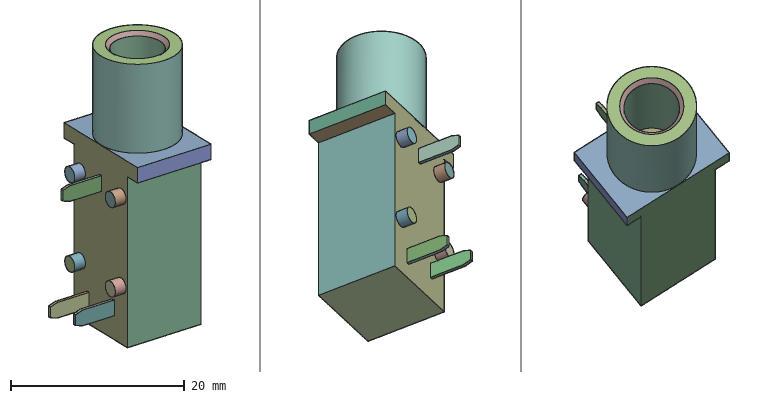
import cadquery as cq

total_height = 35.4
barrel_length = 11.45
flange_thickness = 2.0
flange_width = 14.5
body_width = 10.55
body_depth = 10.48
barrel_diameter = 10.37
body_height = total_height - barrel_length - flange_thickness
flange_top = body_height + flange_thickness
front_face = -body_depth / 2

bore_diameter = 6.4
bore_depth = barrel_length
mouth_diameter = 7.4
mouth_depth = (mouth_diameter - bore_diameter) / 2

peg_diameter = 2.0
peg_length = 1.52
peg_offset = 4.0
peg_heights = (7.5, 19.0)

blade_length = 5.52
blade_height = 2.02
blade_thickness = 0.4
blade_taper_length = 1.0
blade_taper_height = 0.32
blade_pitch = 2.48
blade_positions = ((-blade_pitch, 3.1), (0, 19.1), (blade_pitch, 4.1))


def housing():
    """Rectangular body with a wider flange and a round barrel on top."""
    body = cq.Workplane("XY").box(body_width, body_depth, body_height, centered=(True, True, False))
    flange = (
        cq.Workplane("XY", origin=(0, 0, body_height))
        .box(flange_width, body_depth, flange_thickness, centered=(True, True, False))
    )
    barrel = (
        cq.Workplane("XY", origin=(0, 0, flange_top))
        .circle(barrel_diameter / 2)
        .extrude(barrel_length)
    )
    return body.union(flange).union(barrel)


def plug_bore():
    """Cutter for the blind bore and its tapered mouth, turned about the Z axis."""
    return (
        cq.Workplane("XZ")
        .moveTo(0, total_height - bore_depth)
        .lineTo(bore_diameter / 2, total_height - bore_depth)
        .lineTo(bore_diameter / 2, total_height - mouth_depth)
        .lineTo(mouth_diameter / 2, total_height)
        .lineTo(0, total_height)
        .close()
        .revolve(360, (0, 0), (0, 1))
    )


def peg(x, z):
    """Round peg standing out from the front face."""
    return (
        cq.Workplane("XZ", origin=(x, front_face, z))
        .circle(peg_diameter / 2)
        .extrude(peg_length)
    )


def blade(x, z):
    """Flat contact blade with a tapered tip, standing out from the front face."""
    tip = front_face - blade_length
    shoulder = tip + blade_taper_length
    half_height = blade_height / 2
    tip_half_height = half_height - blade_taper_height
    return (
        cq.Workplane("YZ", origin=(x, 0, z))
        .moveTo(front_face, -half_height)
        .lineTo(shoulder, -half_height)
        .lineTo(tip, -tip_half_height)
        .lineTo(tip, tip_half_height)
        .lineTo(shoulder, half_height)
        .lineTo(front_face, half_height)
        .close()
        .extrude(blade_thickness / 2, both=True)
    )


result = housing().cut(plug_bore())
for peg_z in peg_heights:
    for peg_x in (-peg_offset, peg_offset):
        result = result.union(peg(peg_x, peg_z))
for blade_x, blade_z in blade_positions:
    result = result.union(blade(blade_x, blade_z))